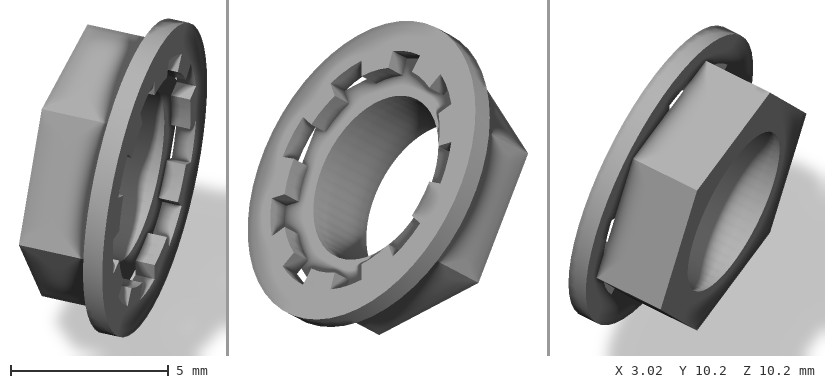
import cadquery as cq
import math

total_length = 3.02
washer_thickness = 0.64
washer_diameter = 10.2
washer_bore_diameter = 7.0
slot_outer_diameter = 8.16
slot_count = 9
hex_across_flats = 7.7
nut_bore_diameter = 5.6

nut_length = total_length - washer_thickness
hex_across_corners = hex_across_flats / math.cos(math.radians(30))
slot_angle = 360 / (2 * slot_count)
slot_pitch = 360 / slot_count
first_slot_angle = 90


def make_nut():
    """Hexagonal nut with a plain bore and two corners on the Y axis."""
    return (
        cq.Workplane("YZ")
        .polygon(6, hex_across_corners)
        .circle(nut_bore_diameter / 2)
        .extrude(nut_length)
    )


def make_slot(start_angle):
    """Sector that widens the washer bore, measured from +Y towards +Z."""
    radius = slot_outer_diameter / 2

    def rim_point(angle):
        angle = math.radians(angle)
        return radius * math.cos(angle), radius * math.sin(angle)

    return (
        cq.Workplane("YZ", origin=(nut_length, 0, 0))
        .lineTo(*rim_point(start_angle))
        .threePointArc(
            rim_point(start_angle + slot_angle / 2),
            rim_point(start_angle + slot_angle),
        )
        .close()
        .extrude(washer_thickness)
    )


def make_washer():
    """Flat ring against the nut, with bore slots that leave inward lands."""
    washer = (
        cq.Workplane("YZ", origin=(nut_length, 0, 0))
        .circle(washer_diameter / 2)
        .circle(washer_bore_diameter / 2)
        .extrude(washer_thickness)
    )
    for index in range(slot_count):
        washer = washer.cut(make_slot(first_slot_angle + index * slot_pitch))
    return washer


nut = make_nut()
washer = make_washer()

result = cq.Compound.makeCompound([nut.val(), washer.val()])